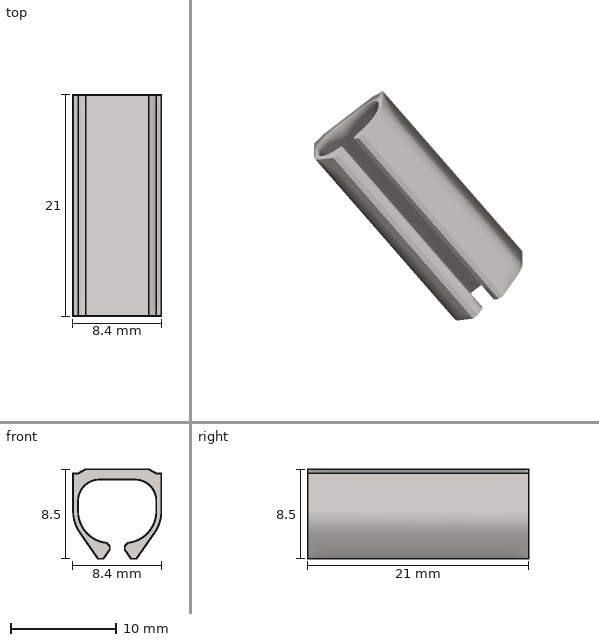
import cadquery as cq
import math

width = 8.4
length = 21.0
height = 8.5

pad_half_width = 3.0
pad_height = 0.4
shoulder_width = 0.5

wall = 0.5
roof = 1.0
upper_radius = 2.0
bend_start_depth = 4.0
floor_radius = 3.0

slot_width = 1.4
lip_chamfer = 0.3
lip_face_height = 0.35
leg_angle = math.radians(34.8)

shoulder_z = height - pad_height
ceiling_z = height - roof
bend_z = height - bend_start_depth

half_width = width / 2
cavity_half_width = half_width - wall
bend_x = cavity_half_width - floor_radius
outer_bend_radius = floor_radius + wall

slot_x = slot_width / 2
floor_end_x = slot_x + lip_chamfer
floor_end_angle = -math.acos((floor_end_x - bend_x) / floor_radius)
floor_end_z = bend_z + floor_radius * math.sin(floor_end_angle)
lip_top_z = floor_end_z - lip_chamfer
lip_bottom_z = lip_top_z - lip_face_height


def on_circle(center, radius, angle):
    """Point at an angle, counterclockwise from +X, on a circle."""
    return (center[0] + radius * math.cos(angle), center[1] + radius * math.sin(angle))


def flank_foot(start, lean):
    """Where a leg flank from the start point meets Z = 0; lean is +1 outward, -1 inward."""
    return (start[0] + lean * start[1] * math.tan(leg_angle), 0)


def half_profile():
    """Cross-section of the +X half, from the middle plane round to the lip."""
    bend_center = (bend_x, bend_z)

    outer_bend_end = on_circle(bend_center, outer_bend_radius, -leg_angle)
    outer_bend_mid = on_circle(bend_center, outer_bend_radius, -leg_angle / 2)
    floor_mid = on_circle(bend_center, floor_radius, floor_end_angle / 2)

    upper_center = (cavity_half_width - upper_radius, ceiling_z - upper_radius)
    upper_mid = on_circle(upper_center, upper_radius, math.pi / 4)

    return (
        cq.Workplane("XZ", origin=(0, length / 2, 0))
        .moveTo(0, height)
        .lineTo(pad_half_width, height)
        .lineTo(half_width - shoulder_width, shoulder_z)
        .lineTo(half_width, shoulder_z)
        .lineTo(half_width, bend_z)
        .threePointArc(outer_bend_mid, outer_bend_end)
        .lineTo(*flank_foot(outer_bend_end, -1))
        .lineTo(*flank_foot((slot_x, lip_bottom_z), 1))
        .lineTo(slot_x, lip_bottom_z)
        .lineTo(slot_x, lip_top_z)
        .lineTo(floor_end_x, floor_end_z)
        .threePointArc(floor_mid, (cavity_half_width, bend_z))
        .lineTo(cavity_half_width, upper_center[1])
        .threePointArc(upper_mid, (upper_center[0], ceiling_z))
        .lineTo(0, ceiling_z)
        .close()
    )


half_clip = half_profile().extrude(length)
result = half_clip.union(half_clip.mirror("YZ")).clean()